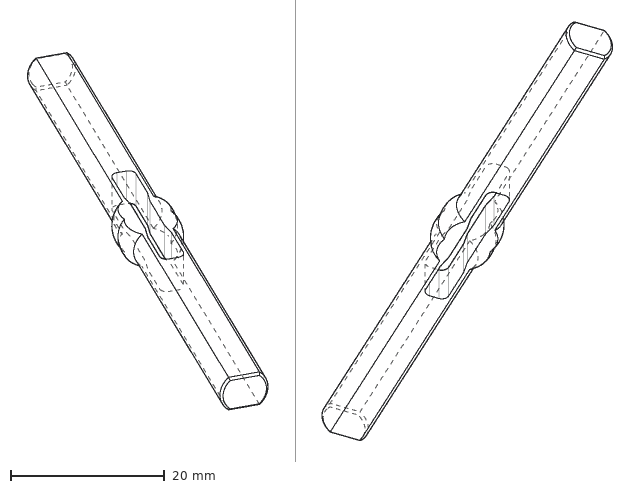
import cadquery as cq
import math

bar_length = 81.25
bar_diameter = 6.6
bar_height = 5.0
end_chamfer = 0.3

grip_length = 8.3
grip_diameter = 8.5
bulge_offset = 1.3

slot_length = 21.8
slot_width = 3.25
slot_corner_radius = 1.0
narrow_width = 2.6
narrow_length = 6.0
ramp_length = 2.0


def make_bar():
    rod = cq.Workplane("YZ").circle(bar_diameter / 2).extrude(bar_length / 2, both=True)
    flats = cq.Workplane("XY").box(bar_length, bar_diameter, bar_height)
    return rod.intersect(flats).faces("<X or >X").chamfer(end_chamfer)


def make_grip():
    end_x = grip_length / 2
    rod_radius = bar_diameter / 2
    crest_radius = grip_diameter / 2
    end_run = end_x - bulge_offset
    end_drop = crest_radius - rod_radius
    arc_radius = (end_run**2 + end_drop**2) / (2 * end_drop)
    crease_drop = arc_radius - math.sqrt(arc_radius**2 - bulge_offset**2)
    turned = (
        cq.Workplane("XY")
        .moveTo(-end_x, 0)
        .lineTo(-end_x, rod_radius)
        .threePointArc((-bulge_offset, crest_radius), (0, crest_radius - crease_drop))
        .threePointArc((bulge_offset, crest_radius), (end_x, rod_radius))
        .lineTo(end_x, 0)
        .close()
        .revolve(360, (0, 0, 0), (1, 0, 0))
    )
    flats = cq.Workplane("XY").box(grip_length, grip_diameter, bar_height)
    return turned.intersect(flats)


def make_slot():
    half_length = slot_length / 2
    half_width = slot_width / 2
    half_narrow = narrow_width / 2
    ramp_inner = narrow_length / 2
    ramp_outer = ramp_inner + ramp_length
    upper_side = [
        (-half_length, half_width),
        (-ramp_outer, half_width),
        (-ramp_inner, half_narrow),
        (ramp_inner, half_narrow),
        (ramp_outer, half_width),
        (half_length, half_width),
    ]
    lower_side = [(-x, -y) for x, y in upper_side]
    slot = cq.Workplane("XY").polyline(upper_side + lower_side).close().extrude(bar_height / 2, both=True)
    return slot.faces("<X or >X").edges("|Z").fillet(slot_corner_radius)


result = make_bar().union(make_grip()).cut(make_slot())